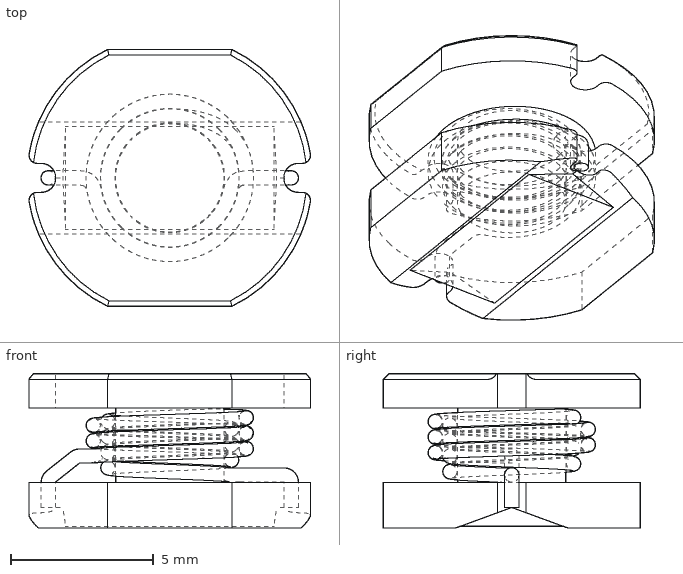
import cadquery as cq
import math

flange_radius = 5.0
flange_width = 9.0
core_height = 5.4
lower_thickness = 1.6
upper_thickness = 1.2
upper_chamfer = 0.2
post_radius = 3.8 / 2

notch_width = 1.01
notch_bottom_x = 3.99
notch_corner_radius = 0.3

relief_half_width = 1.96
relief_height = 0.72
relief_wall_x = 3.75
relief_wall_tilt = 9.0
channel_depth = 0.06

wire_radius = 0.5 / 2
pitch = 0.54
inner_radius = 2.17
outer_radius = 2.68
inner_turns = 3.75
outer_turns = 2.5
crossover_turns = 0.25

leg_x = 4.26
leg_bottom = 0.72
leg_bend = 0.26
coil_bend = 0.47
lead_clearance = 0.01
low_lead_z = lower_thickness + wire_radius + lead_clearance
high_lead_z = 2.52

upper_bottom = core_height - upper_thickness
end_signs = (-1, 1)



def flange(bottom, thickness):
    """Round plate with two flats, without its notches."""
    disc = cq.Workplane("XY").workplane(offset=bottom).circle(flange_radius).extrude(thickness)
    band = (
        cq.Workplane("XY").workplane(offset=bottom)
        .rect(2 * flange_radius, flange_width).extrude(thickness)
    )
    return disc.intersect(band)


def notch_cutter(sign):
    """Open slot with a round bottom and rounded-out mouth corners, as tall as the core."""
    half = notch_width / 2
    round_x = notch_bottom_x + half
    round_y = half + notch_corner_radius
    centre_reach = flange_radius - notch_corner_radius
    mouth_x = math.sqrt(centre_reach**2 - round_y**2)
    rim_scale = flange_radius / centre_reach
    rim_x = mouth_x * rim_scale
    rim_y = round_y * rim_scale
    middle_angle = (math.atan2(round_y, mouth_x) - math.pi / 2) / 2
    middle_x = mouth_x + notch_corner_radius * math.cos(middle_angle)
    middle_y = round_y + notch_corner_radius * math.sin(middle_angle)
    outside_x = flange_radius + notch_corner_radius
    return (
        cq.Workplane("XY")
        .moveTo(sign * mouth_x, half)
        .lineTo(sign * round_x, half)
        .threePointArc((sign * notch_bottom_x, 0), (sign * round_x, -half))
        .lineTo(sign * mouth_x, -half)
        .threePointArc((sign * middle_x, -middle_y), (sign * rim_x, -rim_y))
        .lineTo(sign * outside_x, -rim_y)
        .lineTo(sign * outside_x, rim_y)
        .lineTo(sign * rim_x, rim_y)
        .threePointArc((sign * middle_x, middle_y), (sign * mouth_x, half))
        .close()
        .extrude(core_height)
    )


def relief_cutter():
    """V-shaped prism along X, cut down to a shallow channel between the two end walls."""
    prism = (
        cq.Workplane("YZ").workplane(offset=-flange_radius)
        .polyline([(-relief_half_width, 0), (0, relief_height), (relief_half_width, 0)])
        .close().extrude(2 * flange_radius)
    )
    wall_shift = (relief_height - channel_depth) * math.tan(math.radians(relief_wall_tilt))
    wall_foot_x = relief_wall_x - wall_shift
    wall_block = (
        cq.Workplane("XZ").workplane(offset=-relief_half_width)
        .polyline([
            (-wall_foot_x, channel_depth),
            (wall_foot_x, channel_depth),
            (relief_wall_x, relief_height),
            (-relief_wall_x, relief_height),
        ])
        .close().extrude(2 * relief_half_width)
    )
    return prism.cut(wall_block)


def make_core():
    lower = flange(0, lower_thickness).cut(relief_cutter())
    upper = flange(upper_bottom, upper_thickness).faces(">Z").chamfer(upper_chamfer)
    post = (
        cq.Workplane("XY").workplane(offset=lower_thickness)
        .circle(post_radius).extrude(upper_bottom - lower_thickness)
    )
    body = lower.union(post).union(upper)
    for sign in end_signs:
        body = body.cut(notch_cutter(sign))
    return body



crossover_end = inner_turns + crossover_turns
coil_end = crossover_end + outer_turns
inner_start = math.asin(coil_bend / inner_radius) / (2 * math.pi)
outer_end = coil_end - math.asin(coil_bend / outer_radius) / (2 * math.pi)


def layer_point(radius, turns, z):
    """Point of a layer's centreline."""
    angle = -2 * math.pi * turns
    return cq.Vector(radius * math.cos(angle), radius * math.sin(angle), z)


def layer_helix(radius, bottom_turns, bottom_z, length_turns, clockwise):
    """Centreline of one layer, rising from its bottom end."""
    helix = cq.Wire.makeHelix(pitch, pitch * length_turns, radius, lefthand=clockwise)
    helix = helix.rotate(cq.Vector(0, 0, 0), cq.Vector(0, 0, 1), -360 * bottom_turns)
    return helix.translate(cq.Vector(0, 0, bottom_z))


def coil_direction(turns, radius, rise):
    """Unit tangent of one layer, running clockwise."""
    angle = -2 * math.pi * turns
    along = 2 * math.pi * radius
    return cq.Vector(along * math.sin(angle), -along * math.cos(angle), rise).normalized()


def arc_in_xz(centre, start_angle, end_angle):
    """Lead bend about a centre in the plane Y = 0, angles in radians from +X towards +Z."""
    angles = (start_angle, (start_angle + end_angle) / 2, end_angle)
    points = [centre + cq.Vector(math.cos(a), 0, math.sin(a)) * leg_bend for a in angles]
    return cq.Edge.makeThreePointArc(*points)


def wire_along(stretch):
    """Round wire swept along one stretch of the centreline."""
    start_plane = cq.Plane(origin=stretch.startPoint(), normal=stretch.tangentAt(0))
    return cq.Workplane(start_plane).circle(wire_radius).sweep(cq.Workplane(obj=stretch))


def make_winding():
    towards_minus_x = cq.Vector(-1, 0, 0)

    low_foot = cq.Vector(leg_x, 0, leg_bottom)
    low_bend = arc_in_xz(cq.Vector(leg_x - leg_bend, 0, low_lead_z - leg_bend), 0, math.pi / 2)
    low_leg = cq.Edge.makeLine(low_foot, low_bend.startPoint())
    low_end = cq.Vector(inner_radius + coil_bend, 0, low_lead_z)
    low_run = cq.Edge.makeLine(low_bend.endPoint(), low_end)

    inner_length = inner_turns - inner_start
    outer_length = outer_end - crossover_end
    inner_layer = layer_helix(inner_radius, inner_start, low_lead_z, inner_length, True)
    outer_layer = layer_helix(outer_radius, outer_end, high_lead_z, outer_length, False)
    inner_bottom = layer_point(inner_radius, inner_start, low_lead_z)
    inner_top = layer_point(inner_radius, inner_turns, low_lead_z + pitch * inner_length)
    outer_top = layer_point(outer_radius, crossover_end, high_lead_z + pitch * outer_length)
    outer_bottom = layer_point(outer_radius, outer_end, high_lead_z)

    inner_top_direction = coil_direction(inner_turns, inner_radius, pitch)
    outer_top_direction = coil_direction(crossover_end, outer_radius, -pitch)
    crossover = cq.Edge.makeSpline(
        [inner_top, outer_top], tangents=[inner_top_direction, outer_top_direction]
    )

    high_start = cq.Vector(-outer_radius - coil_bend, 0, high_lead_z)
    top_centre = high_start - cq.Vector(0, 0, leg_bend)
    foot_centre = cq.Vector(leg_bend - leg_x, 0, lower_thickness)
    slope_angle = math.atan2(top_centre.z - foot_centre.z, top_centre.x - foot_centre.x)
    slope_normal = math.pi / 2 + slope_angle
    top_bend = arc_in_xz(top_centre, math.pi / 2, slope_normal)
    foot_bend = arc_in_xz(foot_centre, slope_normal, math.pi)
    slope = cq.Edge.makeLine(top_bend.endPoint(), foot_bend.startPoint())
    high_leg = cq.Edge.makeLine(foot_bend.endPoint(), cq.Vector(-leg_x, 0, leg_bottom))

    start_direction = coil_direction(inner_start, inner_radius, pitch)
    end_direction = coil_direction(outer_end, outer_radius, -pitch)
    bend_in = cq.Edge.makeSpline([low_end, inner_bottom], tangents=[towards_minus_x, start_direction])
    bend_out = cq.Edge.makeSpline([outer_bottom, high_start], tangents=[end_direction, towards_minus_x])

    stretches = [
        low_leg, low_bend, low_run, bend_in, inner_layer, crossover, outer_layer,
        bend_out, top_bend, slope, foot_bend, high_leg,
    ]
    wire = wire_along(stretches[0])
    for stretch in stretches[1:]:
        wire = wire.union(wire_along(stretch))
    return wire


core = make_core()
winding = make_winding()

result = cq.Compound.makeCompound([core.solids().val(), winding.solids().val()])